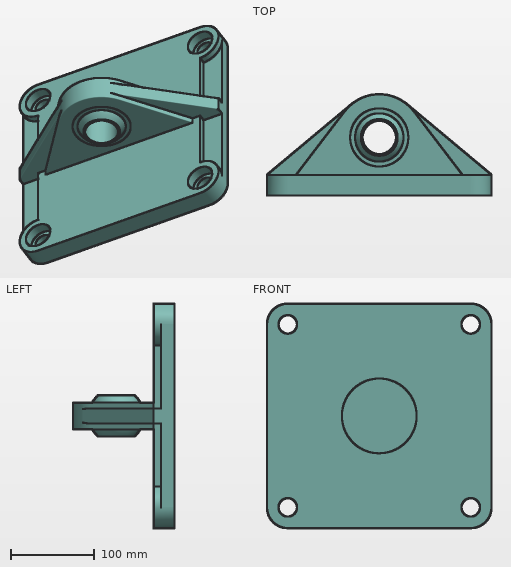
import cadquery as cq
import math

PLATE_SIDE = 270.0
PLATE_THICKNESS = 25.0
CORNER_RADIUS = 25.0
EDGE_ROUND = 1.0
NOTCH_FLOOR = 16.0
RECESS_DIAMETER = 90.0
RECESS_DEPTH = 12.0

BOLT_HOLE_DIAMETER = 22.0
BOLT_LAND = 11.0
COUNTERBORE_DIAMETER = 33.0

LUG_TOP = 122.0
LUG_RADIUS = 52.0
LUG_THICKNESS = 32.0
LUG_FOOT = 199.8
WEB_THICKNESS = 18.0
WEB_FOOT = PLATE_SIDE

RACE_DIAMETER = 70.0
BALL_DIAMETER = 66.5
BALL_WIDTH = 49.7
BORE_DIAMETER = 40.0

HALF_SIDE = PLATE_SIDE / 2
CORNER_CENTER = HALF_SIDE - CORNER_RADIUS
CORNER_POINTS = [(x, z) for x in (-CORNER_CENTER, CORNER_CENTER) for z in (-CORNER_CENTER, CORNER_CENTER)]
BEARING_Y = LUG_TOP - LUG_RADIUS


def cylinders_along_y(diameter, y_start, y_end, centers):
    """Cylinders along Y at the given (x, z) centres."""
    return (
        cq.Workplane("XZ", origin=(0, y_start, 0))
        .pushPoints(centers)
        .circle(diameter / 2)
        .extrude(y_start - y_end)
    )


def bearing_cylinder(diameter, length):
    """Cylinder along Z on the bearing axis, centred on Z = 0."""
    return cq.Workplane("XY").center(0, BEARING_Y).circle(diameter / 2).extrude(length / 2, both=True)


def bearing_sphere():
    return cq.Workplane("XY").sphere(BALL_DIAMETER / 2).translate((0, BEARING_Y, 0))


def make_notch(side):
    """Cutter for the notch in one X side, leaving the corner bosses and the web's rib."""
    rib = cq.Workplane("XY").box(PLATE_SIDE, 2 * PLATE_THICKNESS, WEB_THICKNESS)
    bosses = cylinders_along_y(2 * CORNER_RADIUS, 0, PLATE_THICKNESS, CORNER_POINTS)
    return (
        cq.Workplane("XY")
        .box(CORNER_RADIUS, PLATE_THICKNESS - NOTCH_FLOOR, 2 * CORNER_CENTER, centered=(True, False, True))
        .translate((side * (HALF_SIDE - CORNER_RADIUS / 2), NOTCH_FLOOR, 0))
        .cut(bosses)
        .cut(rib.translate((0, PLATE_THICKNESS, 0)))
    )


def make_plate():
    """Notched plate with a rounded front outline, bolt holes and a round front recess."""
    plate = (
        cq.Workplane("XY")
        .box(PLATE_SIDE, PLATE_THICKNESS, PLATE_SIDE, centered=(True, False, True))
        .edges("|Y")
        .fillet(CORNER_RADIUS)
    )
    for side in (-1, 1):
        plate = plate.cut(make_notch(side))
    return (
        plate.faces("<Y")
        .edges()
        .fillet(EDGE_ROUND)
        .cut(cylinders_along_y(BOLT_HOLE_DIAMETER, 0, PLATE_THICKNESS, CORNER_POINTS))
        .cut(cylinders_along_y(COUNTERBORE_DIAMETER, BOLT_LAND, PLATE_THICKNESS, CORNER_POINTS))
        .cut(cylinders_along_y(RECESS_DIAMETER, 0, RECESS_DEPTH, [(0, 0)]))
    )


def make_lug_slab(foot, thickness):
    """Slab whose flanks rise from the plate's back face and run tangent into the round top."""
    rise = BEARING_Y - PLATE_THICKNESS
    reach = math.hypot(foot / 2, rise)
    flank_angle = math.atan2(rise, foot / 2) + math.asin(LUG_RADIUS / reach)
    tangent_x = LUG_RADIUS * math.sin(flank_angle)
    tangent_y = BEARING_Y + LUG_RADIUS * math.cos(flank_angle)
    return (
        cq.Workplane("XY")
        .moveTo(-foot / 2, PLATE_THICKNESS)
        .lineTo(-tangent_x, tangent_y)
        .threePointArc((0, LUG_TOP), (tangent_x, tangent_y))
        .lineTo(foot / 2, PLATE_THICKNESS)
        .close()
        .extrude(thickness / 2, both=True)
        .faces("<Z or >Z")
        .edges("not <Y")
        .fillet(EDGE_ROUND)
    )


def make_bracket():
    """Plate, thin full-width web and thick centre lug in one piece, bored for the race."""
    web = make_lug_slab(WEB_FOOT, WEB_THICKNESS)
    lug = make_lug_slab(LUG_FOOT, LUG_THICKNESS)
    return make_plate().union(web).union(lug).cut(bearing_cylinder(RACE_DIAMETER, LUG_THICKNESS))


def make_race():
    """Ring flush with the lug faces, with a spherical bore for the ball."""
    return bearing_cylinder(RACE_DIAMETER, LUG_THICKNESS).cut(bearing_sphere())


def make_ball():
    """Bored ball with flat ends that stand proud of the lug."""
    barrel = bearing_sphere().intersect(bearing_cylinder(BALL_DIAMETER, BALL_WIDTH))
    return barrel.cut(bearing_cylinder(BORE_DIAMETER, BALL_WIDTH))


bracket = make_bracket()
race = make_race()
ball = make_ball()

result = cq.Compound.makeCompound([bracket.val(), race.val(), ball.val()])